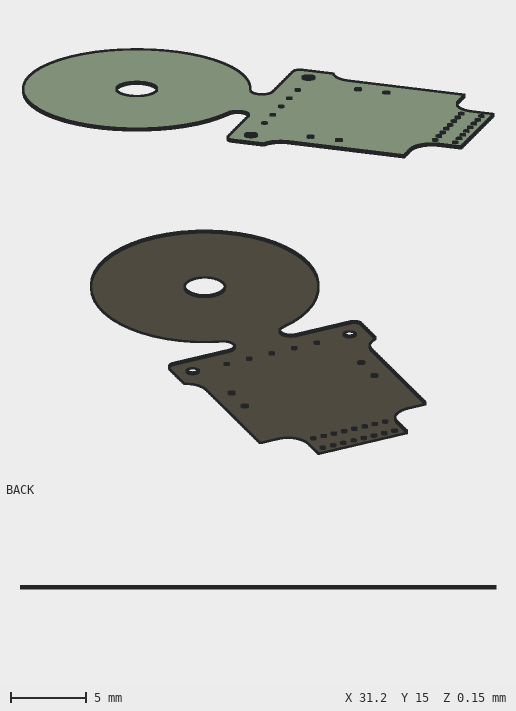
import cadquery as cq
import math

length = 31.22
thickness = 0.15
disc_radius = 7.5
disc_hole_diameter = 2.7

body_left = 8.62
body_right = 20.73
body_half_width = 6.05
ear_half_width = 7.0
ear_right = 11.27
ear_corner_radius = 0.5
tab_half_width = 3.25
tab_right = length - disc_radius
relief_radius = 1.5
neck_radius = 0.75

mount_hole_diameter = 0.8
mount_hole_x = 9.95
mount_hole_y = 5.75
body_hole_diameter = 0.4
body_hole_columns = (13.77, 15.75)
body_hole_y = 4.75
via_diameter = 0.3
neck_via_x = 10.05
neck_via_pitch = 1.65
neck_via_count = 5
tab_via_columns = (21.7, 23.1)
tab_via_pitch = 0.75
tab_via_count = 8


def row(x, pitch, count):
    """Evenly spaced points along Y, centred on Y = 0."""
    return [(x, (i - (count - 1) / 2) * pitch) for i in range(count)]


def arc_middle(center, radius, degrees):
    angle = math.radians(degrees)
    return (center[0] + radius * math.cos(angle), center[1] + radius * math.sin(angle))


def half_blank():
    """The board on the +Y side of its centre line, without holes."""
    neck_x = body_left - neck_radius
    center_distance = disc_radius + neck_radius
    neck_y = math.sqrt(center_distance**2 - neck_x**2)
    disc_touch_angle = math.degrees(math.atan2(neck_y, neck_x))
    disc_touch = arc_middle((0, 0), disc_radius, disc_touch_angle)
    neck_bottom = (neck_x, neck_y - neck_radius)

    ear_arc_y = body_half_width + relief_radius
    ear_rise = ear_arc_y - ear_half_width
    ear_arc_x = ear_right + math.sqrt(relief_radius**2 - ear_rise**2)
    ear_start_angle = 180 + math.degrees(math.asin(ear_rise / relief_radius))
    ear_middle = arc_middle((ear_arc_x, ear_arc_y), relief_radius, (ear_start_angle + 270) / 2)

    corner_center = (body_left + ear_corner_radius, ear_half_width - ear_corner_radius)
    tab_arc_center = (body_right + relief_radius, tab_half_width + relief_radius)

    outline = (
        cq.Workplane("XY")
        .moveTo(-disc_radius, 0)
        .threePointArc(arc_middle((0, 0), disc_radius, (180 + disc_touch_angle) / 2), disc_touch)
        .threePointArc(neck_bottom, (body_left, neck_y))
        .lineTo(body_left, corner_center[1])
        .threePointArc(arc_middle(corner_center, ear_corner_radius, 135), (corner_center[0], ear_half_width))
        .lineTo(ear_right, ear_half_width)
        .threePointArc(ear_middle, (ear_arc_x, body_half_width))
        .lineTo(body_right, body_half_width)
        .lineTo(body_right, tab_arc_center[1])
        .threePointArc(arc_middle(tab_arc_center, relief_radius, 225), (tab_arc_center[0], tab_half_width))
        .lineTo(tab_right, tab_half_width)
        .lineTo(tab_right, 0)
        .close()
    )
    return outline.extrude(thickness)


def drill(board, points, diameter):
    cutters = cq.Workplane("XY").pushPoints(points).circle(diameter / 2).extrude(thickness)
    return board.cut(cutters)


half = half_blank()
result = half.union(half.mirror("XZ")).clean()

result = drill(result, [(0, 0)], disc_hole_diameter)
result = drill(result, row(mount_hole_x, 2 * mount_hole_y, 2), mount_hole_diameter)
for column_x in body_hole_columns:
    result = drill(result, row(column_x, 2 * body_hole_y, 2), body_hole_diameter)
result = drill(result, row(neck_via_x, neck_via_pitch, neck_via_count), via_diameter)
for column_x in tab_via_columns:
    result = drill(result, row(column_x, tab_via_pitch, tab_via_count), via_diameter)